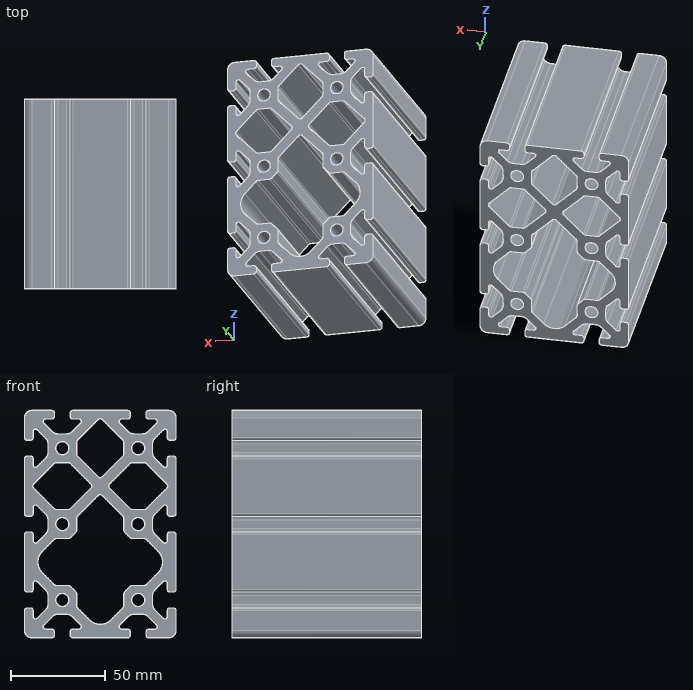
import math

import cadquery as cq

module = 40.0
half_module = module / 2
columns = 2
rows = 3
length = 100.0
back_end = (0, length / 2, 0)
corner_radius = 4.0

slot_mouth = 8.2
lip_thickness = 4.7
lip_radius = 1.5
slot_depth = 12.4
slot_floor = 8.0
slot_pocket_radius = 1.2
slot_floor_radius = 4.2

bore_diameter = 6.8
core_half = 7.7
core_flat_half = 3.8

chamber_half = half_module - core_half
chamber_tip = chamber_half + core_flat_half
chamber_tip_radius = 1.5
lobe_radius = 8.0
shoulder_radius = 1.7


def unit_vector(start, end):
    """Unit direction from one point to another."""
    distance = math.dist(start, end)
    return (end[0] - start[0]) / distance, (end[1] - start[1]) / distance


def rounded_prism(corners):
    """Extrude a closed outline of (x, z, radius) corners over the full length."""
    arcs = []
    for i, (x, z, radius) in enumerate(corners):
        corner = (x, z)
        back = unit_vector(corner, corners[i - 1][:2])
        ahead = unit_vector(corner, corners[(i + 1) % len(corners)][:2])
        half_angle = math.acos(back[0] * ahead[0] + back[1] * ahead[1]) / 2
        setback = radius / math.tan(half_angle)
        inset = radius / math.sin(half_angle) - radius
        bisector = unit_vector((0, 0), (back[0] + ahead[0], back[1] + ahead[1]))
        arc_start = (x + setback * back[0], z + setback * back[1])
        arc_middle = (x + inset * bisector[0], z + inset * bisector[1])
        arc_end = (x + setback * ahead[0], z + setback * ahead[1])
        arcs.append((arc_start, arc_middle, arc_end))

    outline = cq.Workplane("XZ", origin=back_end).moveTo(*arcs[-1][-1])
    for arc_start, arc_middle, arc_end in arcs:
        outline = outline.lineTo(*arc_start).threePointArc(arc_middle, arc_end)
    return outline.close().extrude(length)


def slot_corners(center):
    """Corners of one T-slot as (distance along the face, depth, radius)."""
    mouth_half = slot_mouth / 2
    floor_half = slot_floor / 2
    pocket_half = floor_half + slot_depth - lip_thickness
    near_side = [
        (-mouth_half, 0, lip_radius),
        (-mouth_half, lip_thickness, lip_radius),
        (-pocket_half, lip_thickness, slot_pocket_radius),
        (-floor_half, slot_depth, slot_floor_radius),
    ]
    far_side = [(-along, depth, radius) for along, depth, radius in reversed(near_side)]
    return [(center + along, depth, radius) for along, depth, radius in near_side + far_side]


def cell_centers(count):
    """Cell positions along one direction, centred on zero."""
    return [(i - (count - 1) / 2) * module for i in range(count)]


def outer_body():
    """Solid bar with rounded corners and T-slots on all four faces."""
    corners = []
    sides = [(columns, rows, 0), (rows, columns, 1), (columns, rows, 2), (rows, columns, 3)]
    for cells_along, cells_across, quarter_turns in sides:
        half_along = cells_along * half_module
        half_across = cells_across * half_module
        side = [(-half_along, 0, corner_radius)]
        for center in cell_centers(cells_along):
            side += slot_corners(center)
        for along, depth, radius in side:
            x, z = along, depth - half_across
            for _ in range(quarter_turns):
                x, z = -z, x
            corners.append((x, z, radius))
    return rounded_prism(corners)


def upper_chamber(x, z, tips_along_x):
    """Six-sided chamber with two flats and two 90 degree tips, all corners rounded."""
    local = [
        (-chamber_tip, 0, chamber_tip_radius),
        (-core_flat_half, -chamber_half, shoulder_radius),
        (core_flat_half, -chamber_half, shoulder_radius),
        (chamber_tip, 0, chamber_tip_radius),
        (core_flat_half, chamber_half, shoulder_radius),
        (-core_flat_half, chamber_half, shoulder_radius),
    ]
    if not tips_along_x:
        local = [(v, u, radius) for u, v, radius in local]
    return rounded_prism([(x + u, z + v, radius) for u, v, radius in local])


def upper_chambers():
    """Three separate chambers around the crossing of the upper webs."""
    top = upper_chamber(0, module, tips_along_x=False)
    left = upper_chamber(-half_module, half_module, tips_along_x=True)
    right = upper_chamber(half_module, half_module, tips_along_x=True)
    return top.union(left).union(right)


def lower_chamber():
    """One large cross-shaped cavity between the four lower cores."""
    flat = core_flat_half
    wall = chamber_half
    chamfer_x = half_module - flat
    shoulder_x = half_module + flat
    middle_z = -half_module
    low_z = -module
    right_half = [
        (0, chamber_tip, chamber_tip_radius),
        (wall, flat, shoulder_radius),
        (wall, -flat, shoulder_radius),
        (chamfer_x, middle_z + wall, shoulder_radius),
        (shoulder_x, middle_z + wall, shoulder_radius),
        (half_module + chamber_tip, middle_z, lobe_radius),
        (shoulder_x, middle_z - wall, shoulder_radius),
        (chamfer_x, middle_z - wall, shoulder_radius),
        (wall, low_z + flat, shoulder_radius),
        (wall, low_z - flat, shoulder_radius),
        (0, low_z - chamber_tip, lobe_radius),
    ]
    left_half = [(-x, z, radius) for x, z, radius in reversed(right_half[1:-1])]
    return rounded_prism(right_half + left_half)


def core_bores():
    """Round bores running the full length through the cores."""
    centers = [(x, z) for x in cell_centers(columns) for z in cell_centers(rows)]
    bores = cq.Workplane("XZ", origin=back_end).pushPoints(centers).circle(bore_diameter / 2)
    return bores.extrude(length)


result = outer_body().cut(upper_chambers()).cut(lower_chamber()).cut(core_bores())